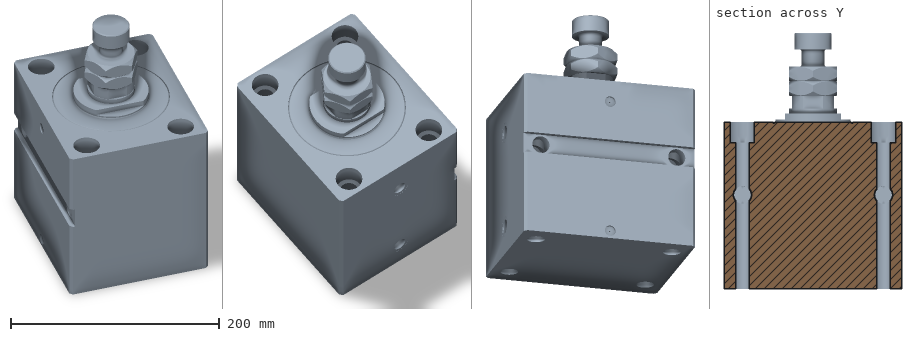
import cadquery as cq
import math

OVERALL_Z = 245.0

BLOCK_X = 170.0
BLOCK_Y = 140.0
BLOCK_Z = 160.0
CORNER_CHAMFER = 3.0
FRONT_Y = -BLOCK_Y / 2
LEFT_X = -BLOCK_X / 2

MOUNT_SPACING_X = 135.0
MOUNT_SPACING_Y = 95.0
MOUNT_DIA = 17.0
MOUNT_BORE_DIA = 25.5
MOUNT_BORE_DEPTH = 19.5

KEYWAY_BOTTOM_Z = 80.0
KEYWAY_HEIGHT = 20.0
KEYWAY_DEPTH = 5.0
CROSS_HOLE_DIA = MOUNT_DIA
CROSS_HOLE_DEPTH = 29.5

GROOVE_OUTER_RADIUS = 56.3
GROOVE_WIDTH = 1.2

VENT_HEIGHTS = (7.3, 138.5)
VENT_DIA = 10.5
VENT_DEPTH = 2.0

PORT_HEIGHTS = (27.7, 123.2)
PORT_DIA = 13.2
PORT_DEPTH = 12.2
SPOTFACE_DIA = 20.0
SPOTFACE_DEPTH = 0.12

PILOT_DIA = 1.2
PILOT_DEPTH = 2.5

FOOT_HEIGHT = 1.0
COLLAR_FLATS_BOTTOM = 2.5
COLLAR_TOP = 8.0
STEP_TOP = 13.0
SHANK_TOP = 25.0
ROD_TOP = OVERALL_Z - BLOCK_Z

FOOT_DIA = 74.0
COLLAR_DIA = 72.0
COLLAR_FLATS = 54.0
STEP_DIA = 45.5
SHANK_DIA = 44.8
SHANK_FLATS = 40.7
NECK_DIA = 22.0
NECK_FILLET = 2.0
STUD_DIA = NECK_DIA + 2 * NECK_FILLET
HEAD_DIA = 35.8
HEAD_HEIGHT = 15.7
HEAD_CHAMFER = 1.0

NUT_COUNT = 2
NUT_FLATS = 46.3
NUT_FACE_DIA = 45.3
NUT_HEIGHT = 14.0
NUT_CORNER_RADIUS = NUT_FLATS / math.sqrt(3)


def front_cylinder(x, z, diameter, start_depth, end_depth):
    """Cylinder along Y between two depths below the front face."""
    start = cq.Vector(x, FRONT_Y + start_depth, z)
    return cq.Solid.makeCylinder(diameter / 2, end_depth - start_depth, start, cq.Vector(0, 1, 0))


def left_cylinder(z, diameter, start_depth, end_depth):
    """Cylinder along X between two depths below the left face."""
    start = cq.Vector(LEFT_X + start_depth, 0, z)
    return cq.Solid.makeCylinder(diameter / 2, end_depth - start_depth, start, cq.Vector(1, 0, 0))


def make_block():
    """Rectangular block with chamfered upright edges."""
    block = cq.Workplane("XY").box(BLOCK_X, BLOCK_Y, BLOCK_Z, centered=(True, True, False))
    return block.edges("|Z").chamfer(CORNER_CHAMFER)


def cut_mounting_holes(block):
    return (
        block.faces(">Z").workplane(origin=(0, 0, BLOCK_Z))
        .rarray(MOUNT_SPACING_X, MOUNT_SPACING_Y, 2, 2)
        .cboreHole(MOUNT_DIA, MOUNT_BORE_DIA, MOUNT_BORE_DEPTH)
    )


def cut_keyway(block):
    keyway = (
        cq.Workplane("XY").box(BLOCK_X, KEYWAY_DEPTH, KEYWAY_HEIGHT, centered=(True, False, False))
        .translate((0, FRONT_Y, KEYWAY_BOTTOM_Z))
    )
    block = block.cut(keyway)
    middle_z = KEYWAY_BOTTOM_Z + KEYWAY_HEIGHT / 2
    floor_depth = KEYWAY_DEPTH + CROSS_HOLE_DEPTH
    for x in (-MOUNT_SPACING_X / 2, MOUNT_SPACING_X / 2):
        block = block.cut(front_cylinder(x, middle_z, CROSS_HOLE_DIA, KEYWAY_DEPTH, floor_depth))
    return block


def cut_ring_groove(block):
    groove = (
        cq.Workplane("XZ")
        .moveTo(GROOVE_OUTER_RADIUS, BLOCK_Z)
        .lineTo(GROOVE_OUTER_RADIUS, BLOCK_Z - GROOVE_WIDTH)
        .lineTo(GROOVE_OUTER_RADIUS - GROOVE_WIDTH, BLOCK_Z)
        .close()
        .revolve(360, (0, 0, 0), (0, 1, 0))
    )
    return block.cut(groove)


def cut_vents(block):
    for z in VENT_HEIGHTS:
        block = block.cut(front_cylinder(0, z, VENT_DIA, 0, VENT_DEPTH))
        block = block.cut(front_cylinder(0, z, PILOT_DIA, VENT_DEPTH, VENT_DEPTH + PILOT_DEPTH))
    return block


def cut_ports(block):
    for z in PORT_HEIGHTS:
        block = block.cut(left_cylinder(z, SPOTFACE_DIA, 0, SPOTFACE_DEPTH))
        block = block.cut(left_cylinder(z, PORT_DIA, SPOTFACE_DEPTH, PORT_DEPTH))
        block = block.cut(left_cylinder(z, PILOT_DIA, PORT_DEPTH, PORT_DEPTH + PILOT_DEPTH))
    return block


def make_housing():
    housing = make_block()
    housing = cut_mounting_holes(housing)
    housing = cut_keyway(housing)
    housing = cut_ring_groove(housing)
    housing = cut_vents(housing)
    return cut_ports(housing)


def disc(diameter, bottom, top):
    """Upright cylinder between two levels above the block's top face."""
    return cq.Workplane("XY", origin=(0, 0, bottom)).circle(diameter / 2).extrude(top - bottom)


def make_collar():
    """Collar on a tapered foot, with two wrench flats facing along X."""
    foot = cq.Workplane(cq.Solid.makeCone(FOOT_DIA / 2, COLLAR_DIA / 2, FOOT_HEIGHT))
    flats = (
        cq.Workplane("XY", origin=(0, 0, COLLAR_FLATS_BOTTOM))
        .rect(COLLAR_FLATS, COLLAR_DIA)
        .extrude(COLLAR_TOP - COLLAR_FLATS_BOTTOM)
    )
    flatted = disc(COLLAR_DIA, COLLAR_FLATS_BOTTOM, COLLAR_TOP).intersect(flats)
    return foot.union(disc(COLLAR_DIA, FOOT_HEIGHT, COLLAR_FLATS_BOTTOM)).union(flatted)


def make_shank():
    """Round shank with four flats."""
    square = (
        cq.Workplane("XY", origin=(0, 0, STEP_TOP))
        .rect(SHANK_FLATS, SHANK_FLATS)
        .extrude(SHANK_TOP - STEP_TOP)
    )
    return disc(SHANK_DIA, STEP_TOP, SHANK_TOP).intersect(square)


def make_stud():
    """Stud through the nuts, then a filleted neck and a round head with a chamfered rim."""
    stud_top = SHANK_TOP + NUT_COUNT * NUT_HEIGHT
    head_bottom = ROD_TOP - HEAD_HEIGHT
    return (
        cq.Workplane("XZ")
        .moveTo(0, SHANK_TOP)
        .lineTo(STUD_DIA / 2, SHANK_TOP)
        .lineTo(STUD_DIA / 2, stud_top)
        .radiusArc((NECK_DIA / 2, stud_top + NECK_FILLET), NECK_FILLET)
        .lineTo(NECK_DIA / 2, head_bottom - NECK_FILLET)
        .radiusArc((NECK_DIA / 2 + NECK_FILLET, head_bottom), NECK_FILLET)
        .lineTo(HEAD_DIA / 2, head_bottom)
        .lineTo(HEAD_DIA / 2, ROD_TOP - HEAD_CHAMFER)
        .lineTo(HEAD_DIA / 2 - HEAD_CHAMFER, ROD_TOP)
        .lineTo(0, ROD_TOP)
        .close()
        .revolve(360, (0, 0, 0), (0, 1, 0))
    )


def make_rod():
    """Rod standing on the block's top face."""
    rod = make_collar().union(disc(STEP_DIA, COLLAR_TOP, STEP_TOP))
    rod = rod.union(make_shank()).union(make_stud())
    return rod.translate((0, 0, BLOCK_Z))


def make_nut(bottom_z):
    """Hexagon nut with corners along Y, its corners chamfered at 45 degrees on both ends."""
    hexagon = (
        cq.Workplane("XY")
        .polygon(6, 2 * NUT_CORNER_RADIUS)
        .extrude(NUT_HEIGHT)
        .rotate((0, 0, 0), (0, 0, 1), 90)
    )
    chamfer = NUT_CORNER_RADIUS - NUT_FACE_DIA / 2
    envelope = (
        cq.Workplane("XY").circle(NUT_CORNER_RADIUS).extrude(NUT_HEIGHT)
        .faces("<Z or >Z").chamfer(chamfer)
    )
    nut = hexagon.intersect(envelope).cut(disc(STUD_DIA, 0, NUT_HEIGHT))
    return nut.translate((0, 0, bottom_z))


housing = make_housing()
rod = make_rod()
nuts = [make_nut(BLOCK_Z + SHANK_TOP + i * NUT_HEIGHT) for i in range(NUT_COUNT)]

result = cq.Compound.makeCompound([housing.val(), rod.val(), *[nut.val() for nut in nuts]])